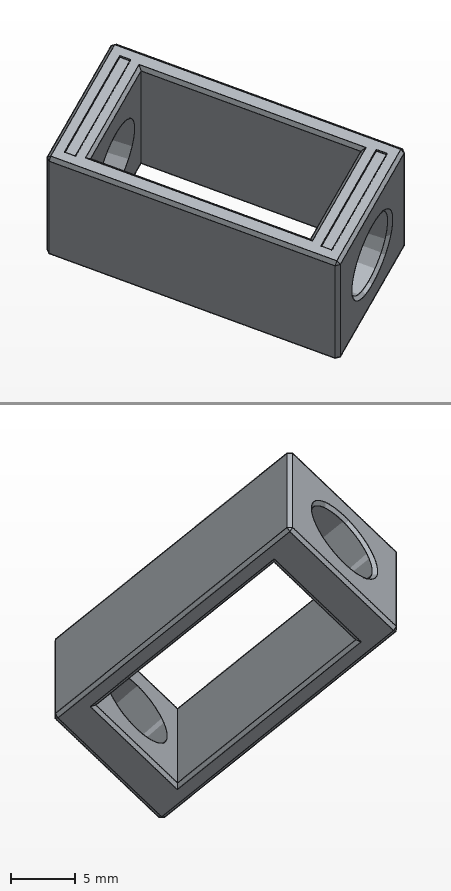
import cadquery as cq

length = 25.0
width = 12.5
height = 12.5
edge_chamfer = 0.3

end_wall = 3.12
side_wall = end_wall / 2
window_length = length - 2 * end_wall
window_width = width - 2 * side_wall

bore_diameter = 7.0

recess_margin = 1.1
recess_length = end_wall - 2 * recess_margin
recess_width = width - 2 * recess_margin
recess_depth = 0.2


def make_block():
    block = cq.Workplane("XY").box(length, width, height)
    return block.edges().chamfer(edge_chamfer)


def make_window():
    """Through window, flared at the top and bottom faces by the edge chamfer."""
    window = cq.Workplane("XY").box(window_length, window_width, height)
    for side in (1, -1):
        flare = (
            cq.Workplane("XY", origin=(0, 0, side * (height / 2 - edge_chamfer)))
            .rect(window_length, window_width)
            .workplane(offset=side * edge_chamfer)
            .rect(window_length + 2 * edge_chamfer, window_width + 2 * edge_chamfer)
            .loft(ruled=True)
        )
        window = window.union(flare)
    return window


def make_bore():
    """Lengthwise bore, chamfered where it meets the two outer end faces."""
    bore_radius = bore_diameter / 2
    mouth_radius = bore_radius + edge_chamfer
    half_length = length / 2
    profile = [
        (-half_length, 0),
        (-half_length, mouth_radius),
        (-half_length + edge_chamfer, bore_radius),
        (half_length - edge_chamfer, bore_radius),
        (half_length, mouth_radius),
        (half_length, 0),
    ]
    return cq.Workplane("XZ").polyline(profile).close().revolve(360, (0, 0, 0), (1, 0, 0))


def make_recesses():
    recess_offset = (length - end_wall) / 2
    return (
        cq.Workplane("XY", origin=(0, 0, height / 2))
        .pushPoints([(-recess_offset, 0), (recess_offset, 0)])
        .rect(recess_length, recess_width)
        .extrude(-recess_depth)
    )


result = make_block().cut(make_window()).cut(make_bore()).cut(make_recesses())